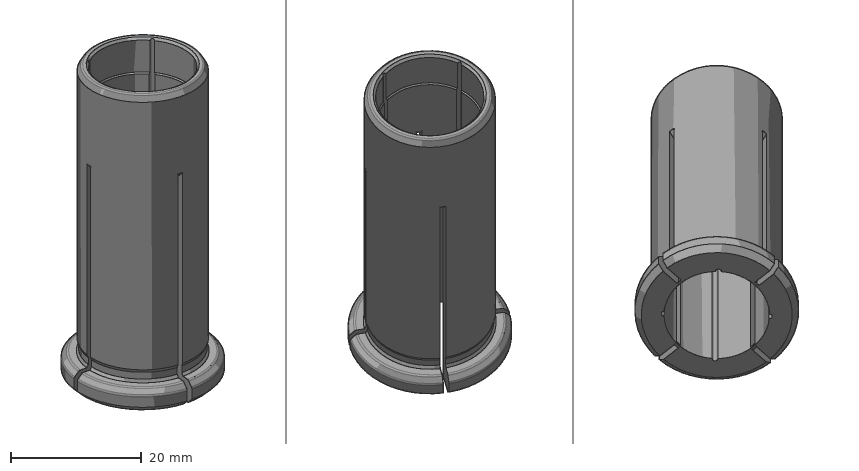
import cadquery as cq

LENGTH = 54.0
BODY_RADIUS = 10.05
FLANGE_DIAMETER = 25.0
FLANGE_RADIUS = FLANGE_DIAMETER / 2

FLANGE_TOP = 3.95
FLANGE_CHAMFER = 0.95
FLANGE_EDGE_BLEND = 0.5

NECK_RADIUS = 9.85
NECK_FOOT_RADIUS = 10.15
NECK_BOTTOM = 4.45
NECK_TOP = 5.6
BODY_BOTTOM = 6.15

NOSE_TAPER_BOTTOM = 52.9
RIM_RADIUS = 9.4
RIM_BLEND = 0.4

BORE_RADIUS = 8.05
TOP_BORE_RADIUS = 8.25
TOP_BORE_BOTTOM = 48.05
BORE_CHAMFER = 0.4

SLOT_COUNT = 4
SLOT_WIDTH = 0.85
SLOT_TOP = 39.55
WEB_HEIGHT = 0.45

GROOVE_RADIUS = 0.45
GROOVE_CENTRE_RADIUS = 8.05
SPACING_ANGLE = 360 / SLOT_COUNT


def sleeve():
    """Revolve the wall section about Z."""
    step = TOP_BORE_RADIUS - BORE_RADIUS
    shoulder_radius = FLANGE_RADIUS - FLANGE_CHAMFER
    outline = [
        (BORE_RADIUS, 0),
        (shoulder_radius, 0),
        (FLANGE_RADIUS, FLANGE_CHAMFER),
        (FLANGE_RADIUS, FLANGE_TOP - FLANGE_CHAMFER),
        (shoulder_radius, FLANGE_TOP),
        (NECK_FOOT_RADIUS, FLANGE_TOP),
        (NECK_RADIUS, NECK_BOTTOM),
        (NECK_RADIUS, NECK_TOP),
        (BODY_RADIUS, BODY_BOTTOM),
        (BODY_RADIUS, NOSE_TAPER_BOTTOM),
        (RIM_RADIUS, LENGTH),
        (TOP_BORE_RADIUS + BORE_CHAMFER, LENGTH),
        (TOP_BORE_RADIUS, LENGTH - BORE_CHAMFER),
        (TOP_BORE_RADIUS, TOP_BORE_BOTTOM),
        (BORE_RADIUS, TOP_BORE_BOTTOM - step),
    ]
    return cq.Workplane("XZ").polyline(outline).close().revolve(360, (0, 0), (0, 1))


def is_flange_chamfer_edge(edge):
    """True for the two circles that bound the upper flange chamfer."""
    if edge.geomType() != "CIRCLE":
        return False
    return edge.Center().z > FLANGE_TOP / 2 and edge.radius() > NECK_FOOT_RADIUS + FLANGE_EDGE_BLEND


def blended_sleeve():
    """Round the upper flange chamfer edges and the outer rim of the nose."""
    body = sleeve()
    body = body.edges().filter(is_flange_chamfer_edge).fillet(FLANGE_EDGE_BLEND)
    return body.faces(">Z").edges(cq.selectors.RadiusNthSelector(-1)).fillet(RIM_BLEND)


def slot_cutter():
    """Cutter for one slot on the +X side, its top sloping down and its foot sloping up towards the axis."""
    wall = BODY_RADIUS - BORE_RADIUS
    outline = [
        (BORE_RADIUS - wall, WEB_HEIGHT + wall),
        (BORE_RADIUS + WEB_HEIGHT, 0),
        (FLANGE_RADIUS + wall, 0),
        (FLANGE_RADIUS + wall, SLOT_TOP),
        (BODY_RADIUS, SLOT_TOP),
        (BORE_RADIUS - wall, SLOT_TOP - 2 * wall),
    ]
    return cq.Workplane("XZ").polyline(outline).close().extrude(SLOT_WIDTH / 2, both=True)


def groove_cutter():
    """Cutter for one full-length round groove on the +X side of the bore."""
    return cq.Workplane("XY").center(GROOVE_CENTRE_RADIUS, 0).circle(GROOVE_RADIUS).extrude(LENGTH)


result = blended_sleeve()
for index in range(SLOT_COUNT):
    slot_angle = index * SPACING_ANGLE
    groove_angle = slot_angle + SPACING_ANGLE / 2
    result = result.cut(slot_cutter().rotate((0, 0, 0), (0, 0, 1), slot_angle))
    result = result.cut(groove_cutter().rotate((0, 0, 0), (0, 0, 1), groove_angle))